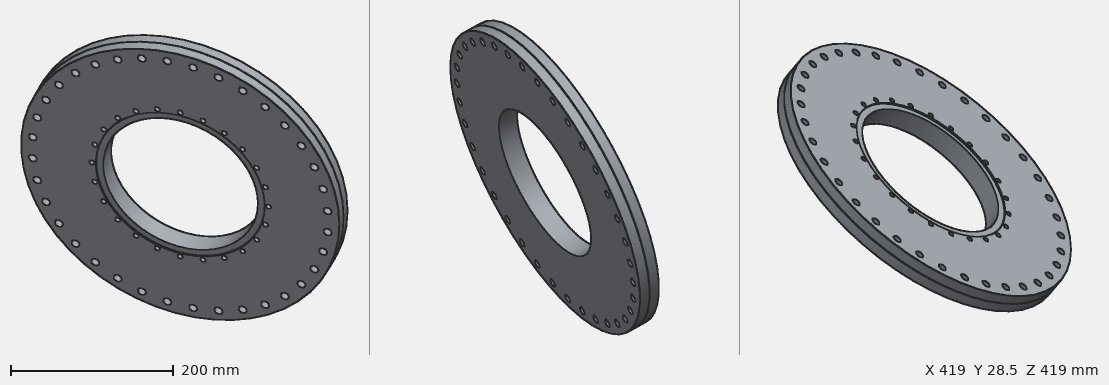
import cadquery as cq
import math

OUTER_DIAMETER = 419.0
THICKNESS = 28.5
FRONT_Y = -THICKNESS / 2
BORE_DIAMETER = 203.3
EDGE_CHAMFER = 0.5

SLOT_FLOOR_DIAMETER = 377.0
SLOT_WIDTH = 1.0

SEAT_DIAMETER = 222.0
SEAT_DEPTH = 2.0
LAND_DIAMETER = 216.5
LAND_DEPTH = 1.3

RIM_HOLE_COUNT = 36
RIM_HOLE_DIAMETER = 10.5
RIM_HOLE_CIRCLE_DIAMETER = 389.5
RIM_HOLE_START_ANGLE = 360 / RIM_HOLE_COUNT / 2

SEAT_HOLE_COUNT = 24
SEAT_HOLE_DIAMETER = 6.5
SEAT_HOLE_CIRCLE_DIAMETER = 232.0
SEAT_HOLE_DEPTH = 10.5
DRILL_POINT_ANGLE = 118.0
FLAT_HOLES = (SEAT_HOLE_COUNT // 4, SEAT_HOLE_COUNT // 2)


def front_plane():
    """Plane on the -Y face whose normal points out of the part."""
    return cq.Workplane("XZ", origin=(0, FRONT_Y, 0))


def revolved(section):
    """Solid of revolution about the Y axis from a half section of (radius, y) points."""
    return cq.Workplane("XY").polyline(section).close().revolve(360, (0, 0, 0), (0, 1, 0))


def ring():
    disc = front_plane().circle(OUTER_DIAMETER / 2).extrude(-THICKNESS)
    disc = disc.faces("|Y").edges().chamfer(EDGE_CHAMFER)
    bore = front_plane().circle(BORE_DIAMETER / 2).extrude(-THICKNESS)
    return disc.cut(bore)


def rim_slot():
    return (
        cq.Workplane("XZ")
        .circle(OUTER_DIAMETER / 2)
        .circle(SLOT_FLOOR_DIAMETER / 2)
        .extrude(SLOT_WIDTH / 2, both=True)
    )


def sealing_seat():
    return revolved([
        (0, FRONT_Y),
        (SEAT_DIAMETER / 2, FRONT_Y),
        (SEAT_DIAMETER / 2, FRONT_Y + SEAT_DEPTH),
        (LAND_DIAMETER / 2, FRONT_Y + LAND_DEPTH),
        (0, FRONT_Y + LAND_DEPTH),
    ])


def rim_holes():
    return (
        front_plane()
        .polarArray(RIM_HOLE_CIRCLE_DIAMETER / 2, RIM_HOLE_START_ANGLE, 360, RIM_HOLE_COUNT)
        .circle(RIM_HOLE_DIAMETER / 2)
        .extrude(-THICKNESS)
    )


def seat_holes():
    radius = SEAT_HOLE_DIAMETER / 2
    point_length = radius / math.tan(math.radians(DRILL_POINT_ANGLE / 2))
    wall = [(0, 0), (radius, 0), (radius, SEAT_HOLE_DEPTH)]
    pointed_hole = revolved(wall + [(0, SEAT_HOLE_DEPTH + point_length)])
    flat_hole = revolved(wall + [(0, SEAT_HOLE_DEPTH)])

    holes = cq.Workplane("XY")
    for index in range(SEAT_HOLE_COUNT):
        hole = flat_hole if index in FLAT_HOLES else pointed_hole
        hole = hole.translate((SEAT_HOLE_CIRCLE_DIAMETER / 2, FRONT_Y, 0))
        angle = -360 / SEAT_HOLE_COUNT * index
        holes = holes.add(hole.rotate((0, 0, 0), (0, 1, 0), angle))
    return holes.combine()


result = ring().cut(rim_slot()).cut(sealing_seat()).cut(rim_holes()).cut(seat_holes())